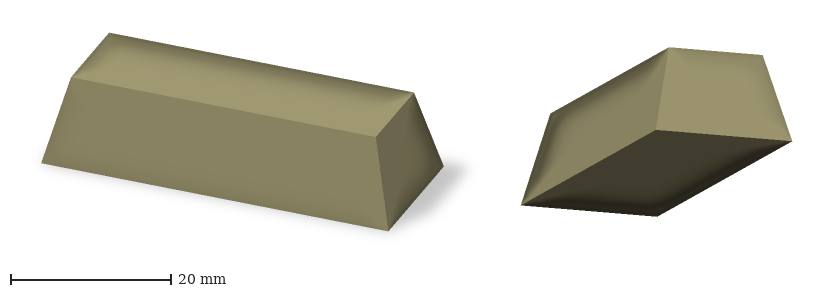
import cadquery as cq

base_length = 46.9
base_width = 18.3
height = 11.4

side_inset = 2.85

top_length = base_length - 2 * side_inset
top_width = base_width - 2 * side_inset

result = (
    cq.Workplane("XY")
    .rect(base_length, base_width)
    .workplane(offset=height)
    .rect(top_length, top_width)
    .loft(ruled=True, combine=True)
)